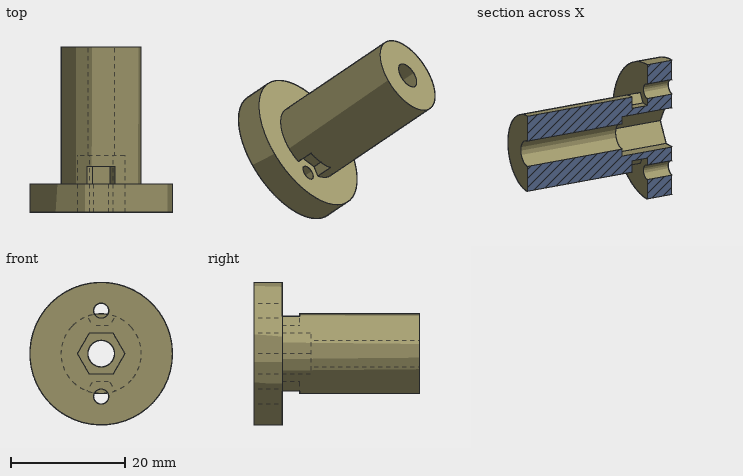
import cadquery as cq

total_length = 29
flange_diameter = 25.0
flange_thickness = 5.0
sleeve_diameter = 14.0

bore_diameter = 4.6
head_pocket_corners = 8.32
head_pocket_depth = 10.0

screw_hole_diameter = 2.6
screw_hole_offset = 7.5
nut_corners = 6.0
nut_relief_length = 3.02


def along_y(start, z=0):
    """XZ workplane at Y = start, centred at height z; its normal is -Y, so +Y lengths are negative."""
    return cq.Workplane("XZ", origin=(0, start, z))


def cylinder(diameter, start, length, z=0):
    return along_y(start, z).circle(diameter / 2).extrude(-length)


def hexagon(corners, start, length, z=0):
    """Hexagonal prism along Y with two corners level with its axis."""
    return along_y(start, z).polygon(6, corners).extrude(-length)


flange = cylinder(flange_diameter, 0, flange_thickness)
sleeve = cylinder(sleeve_diameter, 0, total_length)
result = flange.union(sleeve)

result = result.cut(cylinder(bore_diameter, 0, total_length))
result = result.cut(hexagon(head_pocket_corners, 0, head_pocket_depth))

for z in (screw_hole_offset, -screw_hole_offset):
    result = result.cut(cylinder(screw_hole_diameter, 0, flange_thickness, z))
    result = result.cut(hexagon(nut_corners, flange_thickness, nut_relief_length, z))